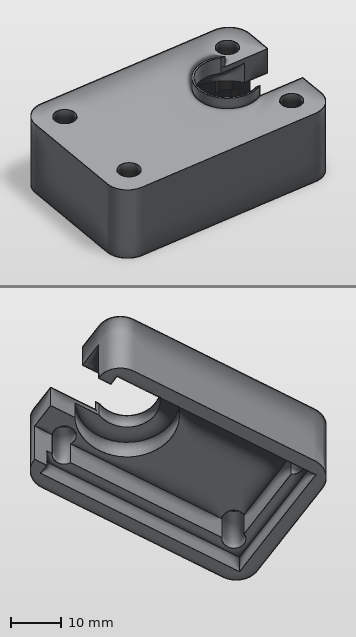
import cadquery as cq

length = 52.5
width = 34.5
total_height = 19.5
collar_height = 2.55
body_height = total_height - collar_height
corner_radius = 5.0

hole_diameter = 4.8
hole_spacing_x = 22.0
hole_spacing_y = 39.9

bore_y = 12.0
bore_radius = 6.6
collar_radius = 7.05
slot_width = 11.95

roof_thickness = 6.0
thin_roof_thickness = 1.2
recess_radius = 10.45

cavity_width = 24.05
side_wall = (width - cavity_width) / 2
cavity_top = body_height - roof_thickness

cover_border = 2.9
cover_seat_depth = 4.7


def rounded_body():
    body = cq.Workplane("XY").box(width, length, body_height, centered=(True, True, False))
    return body.edges("|Z").fillet(corner_radius)


def disc(radius, bottom, top):
    """Vertical cylinder on the axis of the bore."""
    return cq.Workplane("XY", origin=(0, bore_y, bottom)).circle(radius).extrude(top - bottom)


def block(block_width, y_start, y_end, top):
    """Box centred in X that rises from the underside."""
    base = cq.Workplane("XY", origin=(0, y_start, 0))
    return base.box(block_width, y_end - y_start, top, centered=(True, False, False))


def corner_holes():
    centers = cq.Workplane("XY").rect(hole_spacing_x, hole_spacing_y, forConstruction=True).vertices()
    return centers.circle(hole_diameter / 2).extrude(body_height)


collar = disc(collar_radius, body_height - thin_roof_thickness, total_height)
bore = disc(bore_radius, 0, total_height)
slot = block(slot_width, bore_y, length / 2, total_height)
round_recess = disc(recess_radius, cavity_top, body_height - thin_roof_thickness)
cavity = block(cavity_width, side_wall - length / 2, length / 2, cavity_top)
cover_end = length / 2 - cover_border
cover_seat = block(width - 2 * cover_border, -cover_end, cover_end, cover_seat_depth)

result = rounded_body().union(collar)
for opening in (bore, slot, round_recess, cavity, cover_seat, corner_holes()):
    result = result.cut(opening)